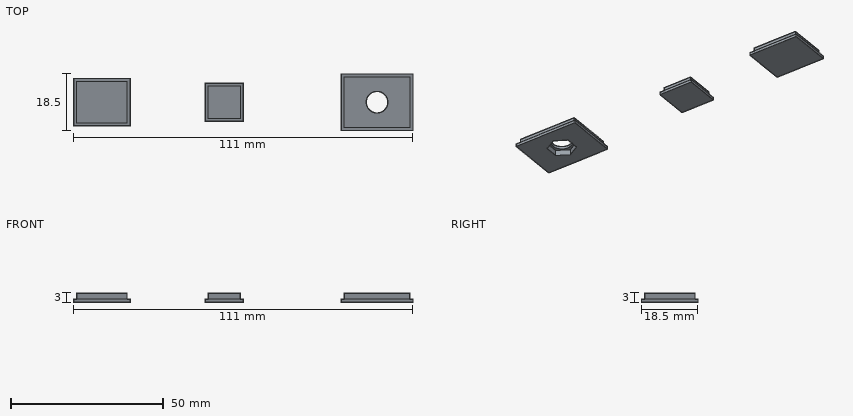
import cadquery as cq
import math

total_length = 111.0
total_height = 3.0
flange_height = 1.0
flange_width = 1.0

left_length = 18.5
left_width = 15.5
middle_side = 12.5
right_length = 23.5
right_width = 18.5
hole_diameter = 7.0

hex_across_flats = 8.3
hex_sides = 6
hex_across_corners = hex_across_flats / math.cos(math.pi / hex_sides)
hex_turn = 180 / hex_sides
hex_depth = total_height - flange_height

left_center = (left_length - total_length) / 2
middle_center = -6.2
right_center = (total_length - right_length) / 2


def stepped_cover(length, width, center_x):
    """Flat flange carrying a smaller raised panel, resting on Z = 0."""
    flange = cq.Workplane("XY").box(length, width, flange_height, centered=(True, True, False))
    panel = cq.Workplane("XY").box(
        length - 2 * flange_width,
        width - 2 * flange_width,
        total_height,
        centered=(True, True, False),
    )
    return flange.union(panel).translate((center_x, 0, 0))


left_cover = stepped_cover(left_length, left_width, left_center)
middle_cover = stepped_cover(middle_side, middle_side, middle_center)

opening = cq.Workplane("XY").center(right_center, 0).circle(hole_diameter / 2).extrude(total_height)
hex_pocket = (
    cq.Workplane("XY")
    .polygon(hex_sides, hex_across_corners)
    .extrude(hex_depth)
    .rotate((0, 0, 0), (0, 0, 1), hex_turn)
    .translate((right_center, 0, 0))
)
right_cover = stepped_cover(right_length, right_width, right_center).cut(opening).cut(hex_pocket)

result = cq.Compound.makeCompound([left_cover.val(), middle_cover.val(), right_cover.val()])